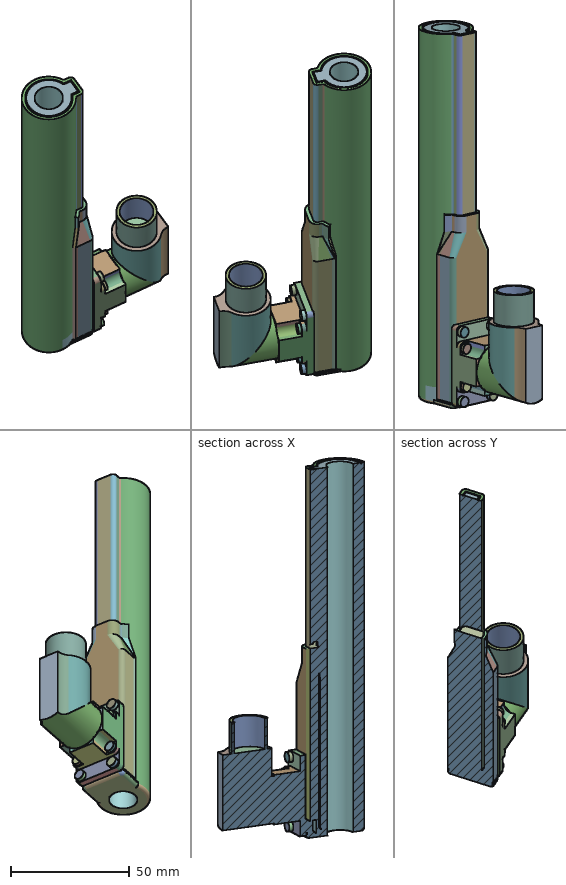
import cadquery as cq
import math

TUBE_LENGTH = 162.0
TUBE_RADIUS = 11.5
CORE_RADIUS = 10.0
CORE_KEY_HALF_WIDTH = 3.5
CORE_KEY_TOP = 13.0
CORE_CHAMFER = 0.5
CORE_RIM_HEIGHT = 1.6
BORE_RADIUS = 6.0
RIB_HALF_WIDTH = 5.2
RIB_TOP = 14.4
RIB_CORNER_RADIUS = 1.8
RIB_ROOT_RADIUS = 1.0

CAP_HEIGHT = 7.6
CAP_EDGE_RADIUS = 1.5
CAP_PLATE_TOP = 2.0
SLEEVE_BOTTOM = 2.6
SEAM_INSET = 0.5

SLEEVE_TOP_FACE = 16.2
SLEEVE_FOOT_RADIUS = 13.0
HOUSING_HALF_WIDTH = 10.7
HOUSING_CORNER_RADIUS = 2.1
HOUSING_ROOT_RADIUS = 2.5
HOUSING_FOOT_ANGLE = 31.0
HOUSING_TOP = 66.1
CLIP_HALF_WIDTH = 6.5
CLIP_CORNER_RADIUS = 3.5
CLIP_ROOT_RADIUS = 0.3
CLIP_FOOT_ANGLE = 45.0
CLIP_BOTTOM = 76.1
CLIP_TOP = 83.5

CONNECTOR_Z = 19.1
PLATE_WIDTH = 22.0
FLANGE_HEIGHT = 35.6
FLANGE_BACK = 15.9
FLANGE_FRONT = 19.1
FLANGE_CORNER_RADIUS = 2.0
BLOCK_STEP = 21.2
BLOCK_FRONT = 31.3
BLOCK_CORNER_RADIUS = 2.3
NOTCH_SIZE = 5.0
NOTCH_RADIUS = 3.0
SCREW_HEAD_RADIUS = 2.3
SCREW_OFFSET_X = 8.3
BLOCK_SCREW_OFFSET_Z = 8.3
FLANGE_SCREW_OFFSET_Z = 15.2
FLANGE_HEAD_HEIGHT = 2.0
BLOCK_HEAD_HEIGHT = 1.5

LEG_RADIUS = 10.5
ELBOW_Y = 43.0
ELBOW_TOP = 42.0
BACK_FACE = 55.7
BACK_HALF_WIDTH = 4.7
BACK_BLEND_RADIUS = 5.8
COLLAR_RADIUS = 8.6
COLLAR_BORE_RADIUS = 7.1
COLLAR_TOP = 55.5


def root_arc(half_width, root, circle_radius):
    """Concave arc joining a circle about the origin to an upright wall: touch, middle and wall points."""
    centre_x = half_width + root
    centre_y = math.sqrt((circle_radius + root) ** 2 - centre_x**2)
    scale = circle_radius / (circle_radius + root)
    touch = (centre_x * scale, centre_y * scale)
    middle_angle = math.pi + math.atan2(centre_y, centre_x) / 2
    middle = (centre_x + root * math.cos(middle_angle), centre_y + root * math.sin(middle_angle))
    return touch, middle, (half_width, centre_y)


def polar(radius, degrees):
    angle = math.radians(degrees)
    return (radius * math.cos(angle), radius * math.sin(angle))


def mirror(point):
    return (-point[0], point[1])


def arch_points(half_width, top, corner, root, circle_radius):
    """Right half of a rounded arch standing on a circle, from the circle up to the top face."""
    touch, root_mid, wall_start = root_arc(half_width, root, circle_radius)
    wall_end = (half_width, top - corner)
    diagonal = corner * (1 - math.sqrt(0.5))
    corner_mid = (half_width - diagonal, top - diagonal)
    top_end = (half_width - corner, top)
    return touch, root_mid, wall_start, wall_end, corner_mid, top_end


def draw_arch(sketch, points):
    """Draw the whole arch from its right touch point to its left one."""
    touch, root_mid, wall_start, wall_end, corner_mid, top_end = points
    return (
        sketch.threePointArc(root_mid, wall_start)
        .lineTo(*wall_end)
        .threePointArc(corner_mid, top_end)
        .lineTo(*mirror(top_end))
        .threePointArc(mirror(corner_mid), mirror(wall_end))
        .lineTo(*mirror(wall_start))
        .threePointArc(mirror(root_mid), mirror(touch))
    )


def tube_shell():
    points = arch_points(RIB_HALF_WIDTH, RIB_TOP, RIB_CORNER_RADIUS, RIB_ROOT_RADIUS, TUBE_RADIUS)
    sketch = cq.Workplane("XY").workplane(offset=CAP_HEIGHT).moveTo(*points[0])
    outline = draw_arch(sketch, points).threePointArc((0, -TUBE_RADIUS), points[0]).close()
    return outline.extrude(TUBE_LENGTH - CAP_HEIGHT)


def core_rim():
    """Top slice of the keyed core, standing on the XY plane."""
    body = cq.Workplane("XY").circle(CORE_RADIUS).extrude(CORE_RIM_HEIGHT)
    key = (
        cq.Workplane("XY")
        .rect(2 * CORE_KEY_HALF_WIDTH, CORE_KEY_TOP, centered=(True, False))
        .extrude(CORE_RIM_HEIGHT)
    )
    return body.union(key)


def core_edge_groove():
    """V groove between the chamfered top edge of the core and the shell."""
    chamfered = core_rim().faces(">Z").chamfer(CORE_CHAMFER)
    return core_rim().cut(chamfered).translate((0, 0, TUBE_LENGTH - CORE_RIM_HEIGHT))


def end_cap():
    """Round cap with a thin plate that closes the bottom of the sleeve."""
    ring = cq.Workplane("XY").circle(TUBE_RADIUS).extrude(CAP_HEIGHT)
    plate = (
        cq.Workplane("XY")
        .rect(2 * HOUSING_HALF_WIDTH, SLEEVE_TOP_FACE, centered=(True, False))
        .extrude(CAP_PLATE_TOP)
        .edges("|Z and >Y")
        .fillet(HOUSING_CORNER_RADIUS)
    )
    return ring.union(plate).faces("<Z").edges().fillet(CAP_EDGE_RADIUS)


def sleeve_section(z, half_width, corner, root, foot_angle, inset=0.0):
    """Closed outline wrapped over the tube, each foot ending on a radial edge."""
    foot_radius = SLEEVE_FOOT_RADIUS - inset
    points = arch_points(half_width - inset, SLEEVE_TOP_FACE - inset, corner, root, foot_radius)
    touch = points[0]
    touch_angle = math.degrees(math.atan2(touch[1], touch[0]))
    foot_outer = polar(foot_radius, foot_angle)
    foot_mid = polar(foot_radius, (foot_angle + touch_angle) / 2)
    foot_inner = polar(CORE_RADIUS, foot_angle)
    sketch = cq.Workplane("XY").workplane(offset=z).moveTo(*foot_inner).lineTo(*foot_outer)
    sketch = draw_arch(sketch.threePointArc(foot_mid, touch), points)
    sketch = sketch.threePointArc(mirror(foot_mid), mirror(foot_outer)).lineTo(*mirror(foot_inner))
    return sketch.threePointArc((0, CORE_RADIUS), foot_inner).close()


def sleeve():
    """Housing above a recessed seam, a straight-sided taper, and the clip over the rib."""
    housing_shape = (HOUSING_HALF_WIDTH, HOUSING_CORNER_RADIUS, HOUSING_ROOT_RADIUS, HOUSING_FOOT_ANGLE)
    clip_shape = (CLIP_HALF_WIDTH, CLIP_CORNER_RADIUS, CLIP_ROOT_RADIUS, CLIP_FOOT_ANGLE)
    seam = sleeve_section(CAP_PLATE_TOP, *housing_shape, inset=SEAM_INSET)
    housing = sleeve_section(SLEEVE_BOTTOM, *housing_shape)
    clip = sleeve_section(CLIP_BOTTOM, *clip_shape)
    lower = sleeve_section(HOUSING_TOP, *housing_shape).wires().val()
    taper = cq.Workplane(cq.Solid.makeLoft([lower, clip.wires().val()], True))
    return (
        housing.extrude(HOUSING_TOP - SLEEVE_BOTTOM)
        .union(seam.extrude(SLEEVE_BOTTOM - CAP_PLATE_TOP))
        .union(taper)
        .union(clip.extrude(CLIP_TOP - CLIP_BOTTOM))
    )


def plane_at(y):
    """Work plane at the given Y, facing +Y, centred on the connector axis."""
    return cq.Workplane(cq.Plane(origin=(0, y, CONNECTOR_Z), xDir=(-1, 0, 0), normal=(0, 1, 0)))


def screw_heads(y, offset_z, height):
    heads = plane_at(y).rect(2 * SCREW_OFFSET_X, 2 * offset_z, forConstruction=True).vertices()
    return heads.circle(SCREW_HEAD_RADIUS).extrude(height)


def flange():
    plate = (
        plane_at(FLANGE_BACK)
        .rect(PLATE_WIDTH, FLANGE_HEIGHT)
        .extrude(FLANGE_FRONT - FLANGE_BACK)
    )
    return plate.edges("|Y").fillet(FLANGE_CORNER_RADIUS)


def block():
    base = plane_at(FLANGE_FRONT).rect(PLATE_WIDTH, PLATE_WIDTH).extrude(BLOCK_STEP - FLANGE_FRONT)
    base = base.edges("|Y").fillet(BLOCK_CORNER_RADIUS)
    depth = BLOCK_FRONT - BLOCK_STEP
    upper = plane_at(BLOCK_STEP).rect(PLATE_WIDTH, PLATE_WIDTH).extrude(depth)
    notches = (
        plane_at(BLOCK_STEP)
        .rect(PLATE_WIDTH, PLATE_WIDTH, forConstruction=True)
        .vertices()
        .rect(2 * NOTCH_SIZE, 2 * NOTCH_SIZE)
        .extrude(depth)
        .edges("|Y")
        .fillet(NOTCH_RADIUS)
    )
    return base.union(upper.cut(notches))


def upright_section():
    """Round leg whose back blends through concave arcs into a narrow flat face."""
    touch, blend_mid, wall_start = root_arc(BACK_HALF_WIDTH, BACK_BLEND_RADIUS, LEG_RADIUS)
    back_corner = (BACK_HALF_WIDTH, BACK_FACE - ELBOW_Y)
    base_z = CONNECTOR_Z - LEG_RADIUS
    return (
        cq.Workplane("XY", origin=(0, ELBOW_Y, base_z))
        .moveTo(*touch)
        .threePointArc(blend_mid, wall_start)
        .lineTo(*back_corner)
        .lineTo(*mirror(back_corner))
        .lineTo(*mirror(wall_start))
        .threePointArc(mirror(blend_mid), mirror(touch))
        .threePointArc((0, -LEG_RADIUS), touch)
        .close()
        .extrude(ELBOW_TOP - base_z)
    )


def elbow():
    """The horizontal round also shapes the underside of the upright leg."""
    run = BACK_FACE - BLOCK_FRONT
    round_underside = plane_at(BLOCK_FRONT).circle(LEG_RADIUS).extrude(run)
    rise = ELBOW_TOP - CONNECTOR_Z
    above_axis = plane_at(BLOCK_FRONT).center(0, rise / 2).rect(2 * LEG_RADIUS, rise).extrude(run)
    upright = upright_section().intersect(round_underside.union(above_axis))
    horizontal = plane_at(BLOCK_FRONT).circle(LEG_RADIUS).extrude(ELBOW_Y - BLOCK_FRONT)
    collar = (
        cq.Workplane("XY", origin=(0, ELBOW_Y, ELBOW_TOP))
        .circle(COLLAR_RADIUS)
        .circle(COLLAR_BORE_RADIUS)
        .extrude(COLLAR_TOP - ELBOW_TOP)
    )
    return upright.union(horizontal).union(collar)


bore = cq.Workplane("XY").circle(BORE_RADIUS).extrude(TUBE_LENGTH)

result = (
    tube_shell()
    .union(end_cap())
    .union(sleeve())
    .union(flange())
    .union(block())
    .union(screw_heads(FLANGE_FRONT, FLANGE_SCREW_OFFSET_Z, FLANGE_HEAD_HEIGHT))
    .union(screw_heads(BLOCK_STEP, BLOCK_SCREW_OFFSET_Z, BLOCK_HEAD_HEIGHT))
    .union(elbow())
    .cut(core_edge_groove())
    .cut(bore)
)